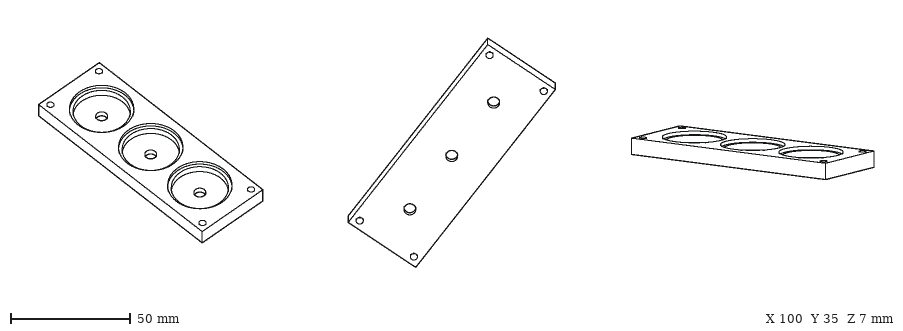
import cadquery as cq

length = 100.0
width = 35.0
thickness = 7.0

mount_diameter = 3.0
mount_inset = 3.5

pocket_count = 3
pocket_pitch = 30.0
rim_diameter = 27.0
rim_depth = 1.5
pocket_diameter = 24.0
pocket_depth = 4.5
center_hole_diameter = 5.0


def round_cut(body, centers, diameter, depth):
    """Cut round holes down from the top face of the plate."""
    cutter = (
        cq.Workplane("XY")
        .workplane(offset=thickness)
        .pushPoints(centers)
        .circle(diameter / 2)
        .extrude(-depth)
    )
    return body.cut(cutter)


first_pocket_x = -pocket_pitch * (pocket_count - 1) / 2
pocket_centers = [(first_pocket_x + i * pocket_pitch, 0) for i in range(pocket_count)]

mount_x = length / 2 - mount_inset
mount_y = width / 2 - mount_inset
mount_centers = [(sx * mount_x, sy * mount_y) for sx in (-1, 1) for sy in (-1, 1)]

plate = cq.Workplane("XY").box(length, width, thickness, centered=(True, True, False))
plate = round_cut(plate, pocket_centers, rim_diameter, rim_depth)
plate = round_cut(plate, pocket_centers, pocket_diameter, pocket_depth)
plate = round_cut(plate, pocket_centers, center_hole_diameter, thickness)
plate = round_cut(plate, mount_centers, mount_diameter, thickness)

result = plate